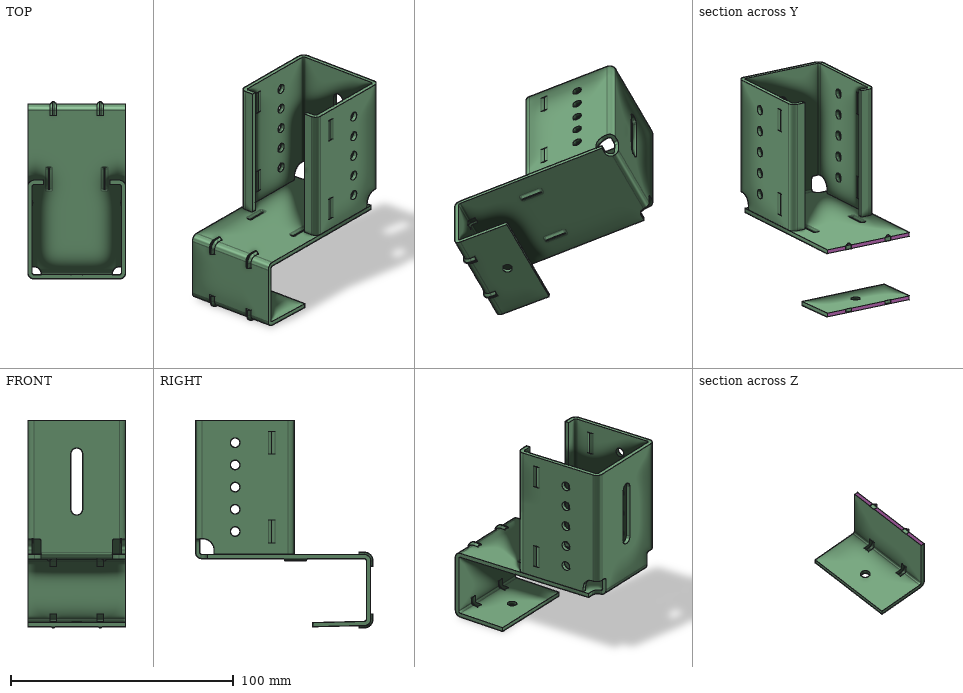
import cadquery as cq
import math

overall_height = 93.2
width = 44.0
sheet = 2.0
inner_radius = 0.9
bend_radius = inner_radius + sheet
half_width = width / 2

post_depth = 44.3
post_gap = 0.1
post_lip = 7.0

hook_face = 78.6
hook_height = 32.0
lip_reach = 26.1
lip_droop = math.radians(1.4)

hole_diameter = 4.2
hole_count = 5
hole_pitch = 10.0
hole_y = 17.8
slot_length = 30.0
slot_width = 5.2
slot_center_drop = 27.4
lip_hole_from_end = 10.3

relief_height = 7.0
relief_inset = 6.0
relief_wall_depth = 8.3
relief_plate_depth = 5.4
relief_wall_radius = 5.0
relief_plate_radius = 3.0
relief_back_radius = 1.0

floor_dent_x = 12.5
floor_dent_y = 44.9
floor_dent_length = 10.5
floor_dent_width = 3.1
floor_dent_crest = 0.5
floor_dent_slant = 0.5
floor_dent_depth = 0.885
floor_dent_rim = 0.4
floor_dent_corner = 0.7
floor_dent_crest_corner = 0.2
wall_dent_y = 34.2
wall_dent_length = 10.25
wall_dent_width = 3.0
wall_dent_depth = 0.33

dart_x = 10.5
dart_width = 2.9
dart_crest = 0.6
dart_height = 1.0
dart_leg = 2.4

dart_bottom_radius = bend_radius + dart_height
lowest = (
    bend_radius - hook_height
    - dart_bottom_radius * math.cos(lip_droop) - dart_leg * math.sin(lip_droop)
)
post_top = overall_height + lowest

upper_axis = (hook_face - bend_radius, -bend_radius)
upper_angles = (math.pi / 2, 0)
lower_axis = (hook_face - bend_radius, bend_radius - hook_height)
lower_angles = (0, lip_droop - math.pi / 2)


def polar(center, radius, angle):
    """Point at a radius and direction from a center."""
    return (center[0] + radius * math.cos(angle), center[1] + radius * math.sin(angle))


def rounded_bend(outline, center, radius, start, end):
    """Draw a straight line to the start of a bend, then its arc."""
    middle = (start + end) / 2
    outline = outline.lineTo(*polar(center, radius, start))
    return outline.threePointArc(polar(center, radius, middle), polar(center, radius, end))


def base_strip():
    """Back tab, base plate, end wall and lower lip, bent from one strip as wide as the part."""
    back_axis = (bend_radius, inner_radius)
    lip_length = (lip_reach - bend_radius) / math.cos(lip_droop)

    def lip_end(radius):
        y, z = polar(lower_axis, radius, lower_angles[1])
        return (y - lip_length * math.cos(lip_droop), z - lip_length * math.sin(lip_droop))

    outline = cq.Workplane("YZ").moveTo(sheet, relief_height)
    outline = rounded_bend(outline, back_axis, inner_radius, math.pi, 1.5 * math.pi)
    outline = rounded_bend(outline, upper_axis, bend_radius, *upper_angles)
    outline = rounded_bend(outline, lower_axis, bend_radius, *lower_angles)
    outline = outline.lineTo(*lip_end(bend_radius)).lineTo(*lip_end(inner_radius))
    outline = rounded_bend(outline, lower_axis, inner_radius, *lower_angles[::-1])
    outline = rounded_bend(outline, upper_axis, inner_radius, *upper_angles[::-1])
    outline = rounded_bend(outline, back_axis, bend_radius, 1.5 * math.pi, math.pi)
    outline = outline.lineTo(0, relief_height).close()
    return outline.extrude(half_width, both=True)


def post():
    """Upright box section, open at +Y between two lips, with room at its foot for the back tab."""
    height = post_top - post_gap
    inside = width - 2 * sheet
    section = cq.Workplane("XY", origin=(0, post_depth / 2, post_gap))
    shell = section.rect(width, post_depth).extrude(height)
    shell = shell.edges("|Z").fillet(bend_radius)
    cavity = section.rect(inside, post_depth - 2 * sheet).extrude(height)
    cavity = cavity.edges("|Z").fillet(inner_radius)
    opening = cq.Workplane("XY").box(
        width - 2 * post_lip, post_depth, post_top, centered=(True, False, False)
    ).translate((0, post_depth / 2, 0))
    tab_space = cq.Workplane("XY").box(width, sheet, relief_height, centered=(True, False, False))
    return shell.cut(cavity).cut(opening).cut(tab_space)


def corner_relief():
    """Cutter that frees the post's corner at -X from the bend of the base plate."""
    wall_cut = (
        cq.Workplane("XY")
        .box(bend_radius, relief_wall_depth, relief_height, centered=False)
        .edges(">Y and >Z").fillet(relief_wall_radius)
    )
    back_cut = (
        cq.Workplane("XY")
        .box(relief_inset, sheet, relief_height + sheet, centered=False)
        .translate((0, 0, -sheet))
        .edges(">X and >Z").fillet(relief_back_radius)
    )
    plate_cut = (
        cq.Workplane("XY")
        .box(relief_inset, relief_plate_depth, sheet + inner_radius, centered=False)
        .translate((0, 0, -sheet))
        .edges(">X and >Y").fillet(relief_plate_radius)
    )
    return wall_cut.union(back_cut).union(plate_cut).translate((-half_width, 0, 0))


def wall_holes():
    """One row of round holes through both side walls."""
    heights = [post_top - hole_pitch * (i + 1) for i in range(hole_count)]
    return (
        cq.Workplane("YZ")
        .pushPoints([(hole_y, z) for z in heights])
        .circle(hole_diameter / 2)
        .extrude(half_width, both=True)
    )


def back_slot():
    """Upright slot through the back wall."""
    return (
        cq.Workplane("XZ", origin=(0, 0, post_top - slot_center_drop))
        .slot2D(slot_length, slot_width, 90)
        .extrude(-sheet)
    )


def lip_hole():
    """Round hole through the lower lip."""
    hole_center_y = hook_face - lip_reach + lip_hole_from_end
    return (
        cq.Workplane("XY", origin=(0, hole_center_y, -hook_height - sheet))
        .circle(hole_diameter / 2)
        .extrude(3 * sheet)
    )


def rounded_rectangle(across, along, corner):
    """Rectangle with rounded corners, centered on the origin."""
    return cq.Sketch().rect(across, along).vertices().fillet(corner)


def floor_dent():
    """Trough pressed down from the plate top, as the solid it displaces, centered on the origin."""
    rim = rounded_rectangle(floor_dent_width, floor_dent_length, floor_dent_corner)
    crest_length = floor_dent_length - 2 * floor_dent_slant
    crest = rounded_rectangle(floor_dent_crest, crest_length, floor_dent_crest_corner)
    bottom = cq.Location(cq.Vector(0, 0, -floor_dent_depth))
    return cq.Workplane("XY").placeSketch(rim, crest.moved(bottom)).loft(ruled=True)


def soften_floor_dents(body):
    """Round the rim of each floor trough on the plate top and the root of its bulge beneath."""
    reach = (floor_dent_width, floor_dent_length, sheet / 4)
    for x in (-floor_dent_x, floor_dent_x):
        for z in (0, -sheet):
            center = cq.Vector(x, floor_dent_y, z)
            zone = cq.selectors.BoxSelector(
                (center - cq.Vector(*reach)).toTuple(),
                (center + cq.Vector(*reach)).toTuple(),
            )
            body = body.edges(zone).edges("#Z").fillet(floor_dent_rim)
    return body


def wall_dent():
    """V-shaped groove pressed toward +X, as the solid it displaces, centered on the origin."""
    return (
        cq.Workplane("XY")
        .polyline([(0, -wall_dent_width / 2), (wall_dent_depth, 0), (0, wall_dent_width / 2)])
        .close()
        .extrude(wall_dent_length / 2, both=True)
    )


def press(body, dent, inward):
    """Hollow one face of the sheet with a dent and raise the same dent on the other face."""
    return body.union(dent.translate(inward.multiply(sheet))).cut(dent)


def sweep_over_bend(section, x, axis, angles):
    """Sweep a closed section, given as (across, outward) points, over a bend and its two legs."""
    start, end = angles
    first = polar(axis, bend_radius, start)
    last = polar(axis, bend_radius, end)
    leg_start = (first[0] - dart_leg * math.sin(start), first[1] + dart_leg * math.cos(start))
    leg_end = (last[0] + dart_leg * math.sin(end), last[1] - dart_leg * math.cos(end))
    path = cq.Workplane("YZ", origin=(x, 0, 0)).moveTo(*leg_start)
    path = rounded_bend(path, axis, bend_radius, start, end).lineTo(*leg_end)
    plane = cq.Plane(
        origin=(x, *leg_start),
        xDir=(1, 0, 0),
        normal=(0, -math.sin(start), math.cos(start)),
    )
    return cq.Workplane(plane).polyline(section).close().sweep(path)


def dart(x, axis, angles):
    """Ridge lying on the outer face of a hook bend."""
    base = dart_width / 2
    crest = dart_crest / 2
    section = [(-base, 0), (base, 0), (crest, dart_height), (-crest, dart_height)]
    return sweep_over_bend(section, x, axis, angles)


def dart_slot(x, axis, angles):
    """Opening through the sheet beneath a dart."""
    base = dart_width / 2
    depth = sheet + inner_radius / 2
    section = [(-base, 0), (base, 0), (base, -depth), (-base, -depth)]
    return sweep_over_bend(section, x, axis, angles)


dart_places = [
    (x, axis, angles)
    for axis, angles in ((upper_axis, upper_angles), (lower_axis, lower_angles))
    for x in (-dart_x, dart_x)
]

relief = corner_relief()
bracket = base_strip().union(post()).cut(relief).cut(relief.mirror("YZ"))
bracket = bracket.cut(wall_holes()).cut(back_slot()).cut(lip_hole())
for x in (-floor_dent_x, floor_dent_x):
    bracket = press(bracket, floor_dent().translate((x, floor_dent_y, 0)), cq.Vector(0, 0, -1))
bracket = soften_floor_dents(bracket)
for drop in (hole_pitch, hole_pitch * hole_count):
    left_dent = wall_dent().translate((-half_width, wall_dent_y, post_top - drop))
    bracket = press(bracket, left_dent, cq.Vector(1, 0, 0))
    bracket = press(bracket, left_dent.mirror("YZ"), cq.Vector(-1, 0, 0))
for place in dart_places:
    bracket = bracket.cut(dart_slot(*place))

darts = [dart(*place) for place in dart_places]

result = cq.Compound.makeCompound([bracket.val(), *[ridge.val() for ridge in darts]])